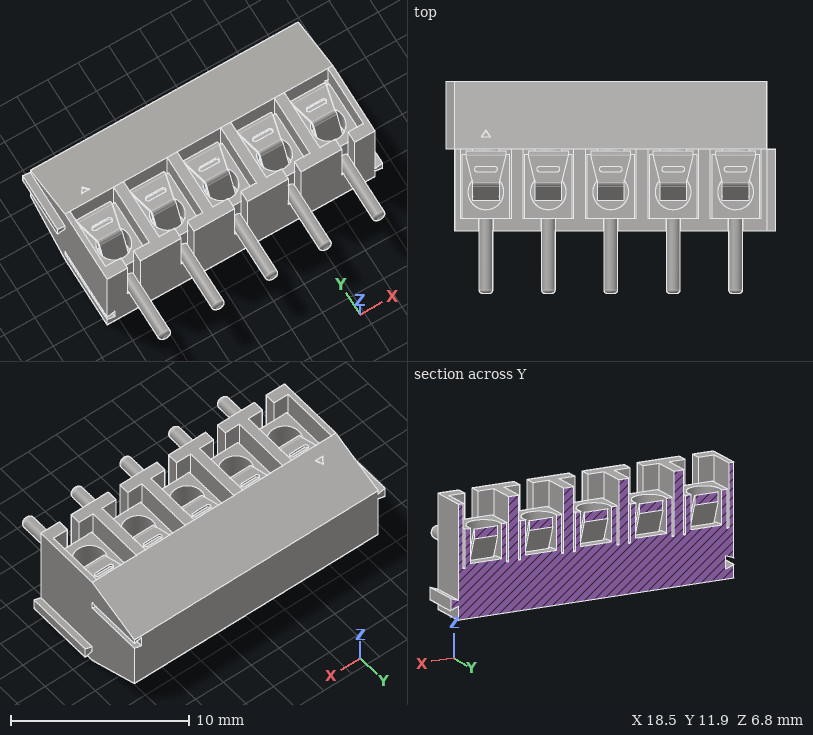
import cadquery as cq
import math


pole_count = 5
overall_length = 18.5
rail_reach = 0.5
body_length = overall_length - 2 * rail_reach
pitch = body_length / pole_count
body_depth = 8.4
body_height = 6.8
straight_depth = 4.6
taper_depth = body_depth - straight_depth
taper_drop = 1.5
mid_height = body_height / 2
pole_places = [(i - (pole_count - 1) / 2) * pitch for i in range(pole_count)]

upper_dovetail_z = 4.8
upper_dovetail_neck = 0.43
upper_dovetail_head = 0.7
lower_dovetail_z = 1.0
lower_dovetail_neck = 0.37
lower_dovetail_head = 0.74

pin_radius = 0.39
pin_length = 3.5
pin_end_rounding = 0.2

front_wall = 0.72
pocket_width = 2.85
pocket_depth = 3.81
pocket_floor = body_height - pocket_depth
slot_width = 0.83

clamp_gap = 0.1
clamp_width = pocket_width - 2 * clamp_gap
clamp_drop = 1.52
clamp_top = body_height - clamp_drop
clamp_rear = 4.3
wire_hole_radius = 1.0
wire_hole_setback = 1.48
wire_hole_y = front_wall + wire_hole_setback
wire_hole_depth = 2.05
wire_hole_floor = clamp_top - wire_hole_depth
screw_radius = 0.74

leaf_thickness = 0.2
leaf_top = clamp_top + leaf_thickness
leaf_wall_gap = 0.11
leaf_rear = straight_depth - leaf_wall_gap
leaf_rear_width = 2.24
leaf_tongue_width = 1.5
leaf_tongue_y = 2.74
bend_radius = 0.25
tongue_slope = math.radians(70)
leaf_slot_length = 1.28
leaf_slot_width = 0.3
leaf_slot_y = 3.48

mark_width = 0.52
mark_height = 0.4
mark_setback = 0.68
mark_y = straight_depth + mark_setback
mark_depth = 0.1


def box(x_size, y_range, z_range):
    """Box centred on X = 0 that fills the given Y and Z ranges."""
    y0, y1 = y_range
    z0, z1 = z_range
    block = cq.Workplane("XY").box(x_size, y1 - y0, z1 - z0, centered=(True, False, False))
    return block.translate((0, y0, z0))


def extrude_along_y(points, y_range):
    """Prism along Y from a closed outline of (x, z) points."""
    y0, y1 = y_range
    outline = cq.Workplane("XZ", origin=(0, y0, 0)).polyline(points).close()
    return outline.extrude(y0 - y1)


def make_housing():
    profile = [
        (0, 0),
        (straight_depth, 0),
        (body_depth, taper_drop),
        (body_depth, body_height - taper_drop),
        (straight_depth, body_height),
        (0, body_height),
    ]
    half_length = body_length / 2
    side = cq.Workplane("YZ", origin=(-half_length, 0, 0)).polyline(profile).close()
    return side.extrude(body_length)


def make_dovetail(neck_x, head_x, z, neck, head, y_range):
    """Dovetail bar along Y, narrow at neck_x and wide at head_x."""
    points = [
        (neck_x, z - neck / 2),
        (head_x, z - head / 2),
        (head_x, z + head / 2),
        (neck_x, z + neck / 2),
    ]
    return extrude_along_y(points, y_range)


def add_dovetails(body):
    """Rail and matching groove at opposite ends: the upper pair at the rear, the lower at the front."""
    end_x = body_length / 2
    upper = (upper_dovetail_z, upper_dovetail_neck, upper_dovetail_head, (straight_depth, body_depth))
    lower = (lower_dovetail_z, lower_dovetail_neck, lower_dovetail_head, (0, straight_depth))
    body = body.union(make_dovetail(-end_x, -end_x - rail_reach, *upper))
    body = body.cut(make_dovetail(end_x, end_x - rail_reach, *upper))
    body = body.union(make_dovetail(end_x, end_x + rail_reach, *lower))
    return body.cut(make_dovetail(-end_x, -end_x + rail_reach, *lower))


def cut_mark(body):
    roof_angle = math.atan2(taper_drop, taper_depth)
    outline = [(-mark_width / 2, 0), (mark_width / 2, 0), (0, mark_height)]
    cutter = cq.Workplane("XY").polyline(outline).close().extrude(-mark_depth)
    cutter = cutter.rotate((0, 0, 0), (1, 0, 0), -math.degrees(roof_angle))
    mark_z = body_height - mark_setback * math.tan(roof_angle)
    return body.cut(cutter.translate((pole_places[0], mark_y, mark_z)))


def make_pocket():
    pocket = box(pocket_width, (front_wall, straight_depth), (pocket_floor, body_height))
    slot = box(slot_width, (0, front_wall), (pocket_floor, body_height))
    return pocket.union(slot)


def make_clamp():
    block = box(clamp_width, (front_wall, clamp_rear), (pocket_floor, clamp_top))
    hole = cq.Workplane("XY", origin=(0, wire_hole_y, wire_hole_floor))
    block = block.cut(hole.circle(wire_hole_radius).extrude(wire_hole_depth))
    screw = cq.Workplane("XZ", origin=(0, clamp_rear, mid_height))
    screw = screw.circle(screw_radius).extrude(clamp_rear - straight_depth)
    return block.union(screw)


def make_leaf():
    """Sheet with a rear leg bent down behind the clamp and a tongue bent down into its wire hole."""
    bend_center_z = leaf_top - bend_radius
    half_slope = tongue_slope / 2
    rear_bend_y = leaf_rear - bend_radius

    def on_bend(angle, radius):
        """Point on the tongue bend at an angle from its top."""
        return (leaf_tongue_y - radius * math.sin(angle), bend_center_z + radius * math.cos(angle))

    inner_radius = bend_radius - leaf_thickness
    bend_end = on_bend(tongue_slope, bend_radius)
    inner_bend_end = on_bend(tongue_slope, inner_radius)

    def down_slope(point):
        """Point where the sloping tongue reaches the floor of the wire hole."""
        return (point[0] - (point[1] - wire_hole_floor) / math.tan(tongue_slope), wire_hole_floor)

    profile = (
        cq.Workplane("YZ", origin=(-leaf_rear_width / 2, 0, 0))
        .moveTo(leaf_rear, pocket_floor)
        .lineTo(leaf_rear, bend_center_z)
        .radiusArc((rear_bend_y, leaf_top), -bend_radius)
        .lineTo(leaf_tongue_y, leaf_top)
        .threePointArc(on_bend(half_slope, bend_radius), bend_end)
        .lineTo(*down_slope(bend_end))
        .lineTo(*down_slope(inner_bend_end))
        .lineTo(*inner_bend_end)
        .threePointArc(on_bend(half_slope, inner_radius), on_bend(0, inner_radius))
        .lineTo(clamp_rear, clamp_top)
        .lineTo(clamp_rear, pocket_floor)
        .close()
    )
    sheet = profile.extrude(leaf_rear_width)
    half_rear = leaf_rear_width / 2
    half_tongue = leaf_tongue_width / 2
    outline = [
        (half_rear, leaf_rear),
        (half_rear, rear_bend_y),
        (half_tongue, leaf_tongue_y),
        (half_tongue, 0),
    ]
    outline += [(-x, y) for x, y in reversed(outline)]
    plan = cq.Workplane("XY").polyline(outline).close().extrude(body_height)
    slot = cq.Workplane("XY", origin=(0, leaf_slot_y, clamp_top))
    slot = slot.slot2D(leaf_slot_length, leaf_slot_width).extrude(leaf_thickness)
    return sheet.intersect(plan).cut(slot)


def make_pin():
    pin = cq.Workplane("XZ", origin=(0, front_wall, mid_height))
    pin = pin.circle(pin_radius).extrude(front_wall + pin_length)
    return pin.faces("<Y").edges().fillet(pin_end_rounding)


housing = cut_mark(add_dovetails(make_housing()))
pocket = make_pocket()
pole = make_clamp().union(make_leaf()).union(make_pin())
for x in pole_places:
    housing = housing.cut(pocket.translate((x, 0, 0)))
    housing = housing.union(pole.translate((x, 0, 0)))
result = housing